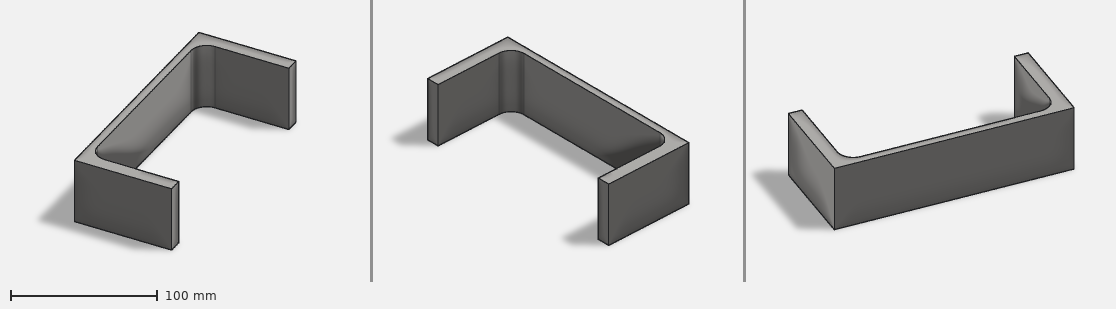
import cadquery as cq

channel_depth = 180.0
flange_width = 75.0
length = 50.0
web_thickness = 6.0
flange_thickness = 10.5
root_radius = 12.0

opening_width = flange_width - web_thickness
opening_depth = channel_depth - 2 * flange_thickness


def full_length_block(size_x, size_y):
    """Block centred on Y, starting at the origin in X and Z."""
    return cq.Workplane("XY").box(size_x, size_y, length, centered=(False, True, False))


opening = (
    full_length_block(opening_width, opening_depth)
    .edges("|Z and <X")
    .fillet(root_radius)
    .translate((web_thickness, 0, 0))
)

result = full_length_block(flange_width, channel_depth).cut(opening)